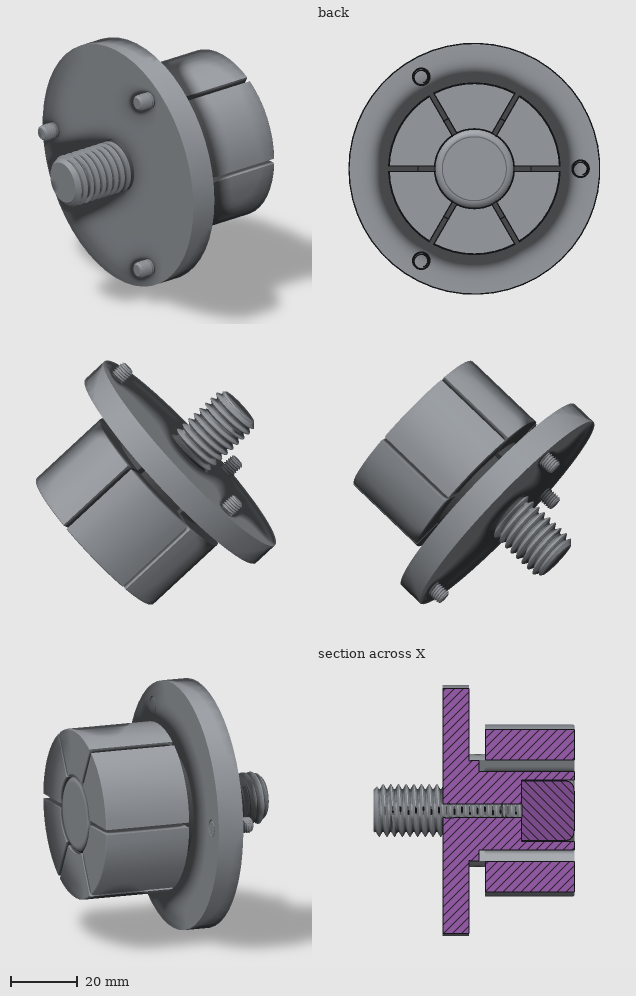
import cadquery as cq
import math


flange_diameter = 75.45
flange_thickness = 7.9
neck_diameter = 34.0
neck_length = 4.8
head_diameter = 51.6
head_length = 26.8
head_end_chamfer = 0.2
slot_count = 6
slot_width = 1.6
slot_depth_in_neck = 1.8
head_base_y = flange_thickness + neck_length
body_end_y = head_base_y + head_length
slot_floor_y = head_base_y - slot_depth_in_neck

bolt_diameter = 15.85
bolt_pitch = 2.31
bolt_protrusion = 20.75
bolt_tip_chamfer = 1.65
bolt_crest_offset = 1.185
bolt_head_diameter = 23.8
bolt_head_height = 15.85
bolt_head_fillet = 2.3
bolt_seat_y = body_end_y - bolt_head_height

set_screw_count = 3
set_screw_diameter = 4.8
set_screw_pitch = 0.79
set_screw_protrusion = 4.8
set_screw_tip_chamfer = 0.6
set_screw_crest_offset = 0.22
set_screw_circle_radius = 31.9

hole_clearance = 0.3

THREAD_DEPTH_RATIO = 0.61
CREST_WIDTH_RATIO = 1 / 8
THREAD_HALF_ANGLE = math.radians(30)
BURIED_DEPTH_RATIO = 0.05


def axial_cylinder(diameter, start_y, end_y):
    """Cylinder on the Y axis from start_y to end_y."""
    return cq.Workplane("XZ", origin=(0, start_y, 0)).circle(diameter / 2).extrude(start_y - end_y)


def thread_ridge(diameter, pitch, length, crest_offset):
    """Right-hand helical ridge along local Z, reaching past both ends of 0..length.

    On the local +X side its crest lies at z = crest_offset plus whole pitches.
    """
    crest_radius = diameter / 2
    buried_radius = crest_radius - (THREAD_DEPTH_RATIO + BURIED_DEPTH_RATIO) * pitch
    crest_half_width = CREST_WIDTH_RATIO * pitch / 2
    base_half_width = crest_half_width + (crest_radius - buried_radius) * math.tan(THREAD_HALF_ANGLE)
    turns = math.ceil(length / pitch) + 2
    start_z = crest_offset % pitch - pitch

    helix = cq.Wire.makeHelix(pitch, turns * pitch, crest_radius)
    ridge = (
        cq.Workplane("XZ")
        .moveTo(buried_radius, -base_half_width)
        .lineTo(crest_radius, -crest_half_width)
        .lineTo(crest_radius, crest_half_width)
        .lineTo(buried_radius, base_half_width)
        .close()
        .sweep(cq.Workplane(obj=helix), isFrenet=True)
    )
    return ridge.translate((0, 0, start_z))


def threaded_shank(diameter, pitch, back_y, protrusion, tip_chamfer, crest_offset):
    """Right-hand threaded rod on the Y axis from back_y to its chamfered tip at y = -protrusion.

    On the +X side a thread crest lies at y = -crest_offset.
    """
    length = back_y + protrusion
    root_radius = diameter / 2 - THREAD_DEPTH_RATIO * pitch
    tip_radius = diameter / 2 - tip_chamfer

    envelope_radius = diameter
    envelope = (
        cq.Workplane("XZ")
        .lineTo(envelope_radius, 0)
        .lineTo(envelope_radius, length - (envelope_radius - tip_radius))
        .lineTo(tip_radius, length)
        .lineTo(0, length)
        .close()
        .revolve(360, (0, 0), (0, 1))
    )

    ridge = thread_ridge(diameter, pitch, length, back_y + crest_offset).intersect(envelope)
    core = cq.Workplane("XY").circle(root_radius).extrude(length)
    rod = core.union(ridge).intersect(envelope)
    return rod.rotate((0, 0, 0), (1, 0, 0), 90).translate((0, back_y, 0))


def set_screw_centres():
    """(x, z) centres of the set screws, the first on the -X side."""
    angles = [math.pi + 2 * math.pi * i / set_screw_count for i in range(set_screw_count)]
    return [
        (set_screw_circle_radius * math.cos(a), set_screw_circle_radius * math.sin(a)) for a in angles
    ]


def make_body():
    body = axial_cylinder(flange_diameter, 0, flange_thickness)
    body = body.union(axial_cylinder(neck_diameter, flange_thickness, head_base_y))
    head = axial_cylinder(head_diameter, head_base_y, body_end_y)
    body = body.union(head.faces(">Y").chamfer(head_end_chamfer))

    body = body.cut(axial_cylinder(bolt_diameter + hole_clearance, 0, bolt_seat_y))
    body = body.cut(axial_cylinder(bolt_head_diameter + hole_clearance, bolt_seat_y, body_end_y))

    slot_length = body_end_y - slot_floor_y
    slot = cq.Workplane("XY").box(
        head_diameter / 2, slot_length, slot_width, centered=(False, False, True)
    ).translate((0, slot_floor_y, 0))
    for i in range(slot_count):
        body = body.cut(slot.rotate((0, 0, 0), (0, 1, 0), 360 / slot_count * i))

    holes = (
        cq.Workplane("XZ")
        .pushPoints(set_screw_centres())
        .circle((set_screw_diameter + hole_clearance) / 2)
        .extrude(-flange_thickness)
    )
    return body.cut(holes)


def make_cap_screw():
    shank = threaded_shank(
        bolt_diameter, bolt_pitch, bolt_seat_y, bolt_protrusion, bolt_tip_chamfer, bolt_crest_offset
    )
    head = axial_cylinder(bolt_head_diameter, bolt_seat_y, body_end_y)
    head = head.faces(">Y").edges().fillet(bolt_head_fillet)
    return head.union(shank)


def make_set_screws():
    screw = threaded_shank(
        set_screw_diameter,
        set_screw_pitch,
        flange_thickness,
        set_screw_protrusion,
        set_screw_tip_chamfer,
        set_screw_crest_offset,
    )
    return [screw.translate((x, 0, z)) for x, z in set_screw_centres()]


body = make_body()
cap_screw = make_cap_screw()
set_screws = make_set_screws()

result = cq.Compound.makeCompound([body.val(), cap_screw.val(), *[screw.val() for screw in set_screws]])